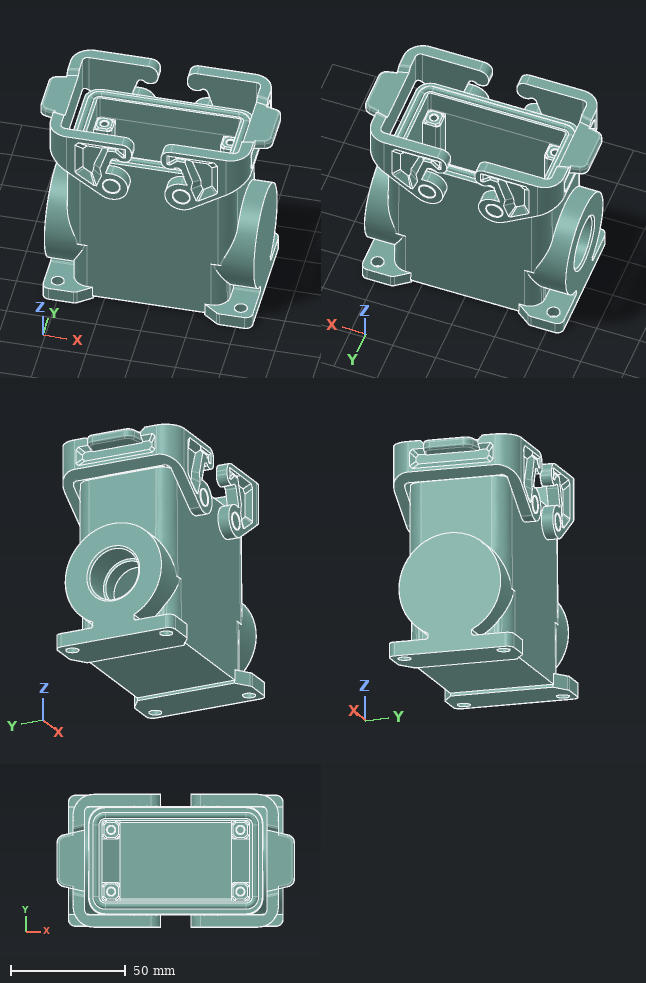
import cadquery as cq
import math

margin = 1.0
bevel_angle = 45.0

body_bottom = 1.3
rim_z = 80.0
bore_z = 30.0
upper_half_x = 38.1
lower_half_x = 34.7
body_half_y = 23.5
body_corner = 7.2
draft = 0.45

bead_half_x = 34.8
bead_half_y = 19.8
bead_radius = 1.3
bead_corner = 4.1

cavity_half_x = 32.1
cavity_half_y = 17.5
well_half_x = 24.2
shoulder_z = 53.8
shoulder_drop = 4.6
floor_z = 5.2
floor_half_y = 16.6
cavity_corner = 1.0

pillar_top = 69.1
pillar_inner_y = 9.4
pillar_rounding = 1.8
pillar_cap_height = 0.7
pillar_cap_clip = 1.8
pillar_overlap = 2.6
screw_radius = 1.7
screw_mouth_radius = 2.0
screw_depth = 10.4

end_x = 46.8
boss_radius = 23.4
bore_radius = 11.9
bore_depth = 14.5
bore_chamfer = 0.9
throat_radius = 10.8
neck_half_y = 10.0
neck_fillet = 1.0

foot_height = 6.3
foot_half_y = 28.6
foot_inner_x = 24.8
foot_bend_x = 31.8
foot_corner = 3.1
foot_bend_radius = 2.6
foot_hole_x = 40.9
foot_hole_y = 22.8
foot_hole_radius = 2.8

lever_top = 96.9
lever_end_x = 44.7
lever_half_y = 29.0
lever_inner_x = 39.7
lever_inner_y = 23.7
lever_corner = 9.0
lever_inner_corner = 2.4
lever_end_bottom = 83.0
pivot_x = 15.6
pivot_z = 71.7
eye_radius = 7.3
pin_radius = 3.7
pin_groove_width = 0.2
pin_groove_depth = 0.3
hook_tip_x = 6.6
hook_radius = 4.2
hook_bottom = 86.9
hook_low_radius = 3.8
hook_lip_angle = 33.0
throat_top_x = 15.5
throat_top_z = 87.1
throat_bottom_x = 18.1
mouth_apex_x = 13.9
mouth_apex_z = 88.3

flank_depth = 2.3
arm_depth = 0.8
arm_flare = 45.0

end_pocket_half_y = 19.1
end_pocket_bottom = 84.5
end_pocket_top = 93.2
end_pocket_depth = 1.7
end_pocket_wall = 2.3
end_pocket_corner = 1.2

grip_tip_x = 51.8
grip_bottom = 90.5
grip_top = 94.9
grip_root_half_y = 13.4
grip_tip_half_y = 10.7
grip_corner = 3.6
grip_edge = 1.0
notch_flare = 45.0
notch_rounding = 1.0


def rounded_block(half_x, half_y, z_low, height, radius, taper=0.0):
    """Upright block with rounded vertical edges."""
    outline = cq.Sketch().rect(2 * half_x, 2 * half_y).vertices().fillet(radius)
    return cq.Workplane("XY", origin=(0, 0, z_low)).placeSketch(outline).extrude(height, taper=taper)


def clipped_rectangle(half_width, half_height, clip):
    """Corners of a centred rectangle with its four corners clipped."""
    return [
        (-half_width, half_height - clip),
        (clip - half_width, half_height),
        (half_width - clip, half_height),
        (half_width, half_height - clip),
        (half_width, clip - half_height),
        (half_width - clip, -half_height),
        (clip - half_width, -half_height),
        (-half_width, clip - half_height),
    ]


def both_ends(left_part):
    """A left-hand part together with its mirror image on the right."""
    return left_part.union(left_part.mirror("YZ"))


def make_body():
    lower_height = bore_z - body_bottom
    flare = lower_height * math.tan(math.radians(draft))
    lower = rounded_block(lower_half_x + flare, body_half_y + flare, body_bottom,
                          lower_height, body_corner, draft)
    upper = rounded_block(upper_half_x, body_half_y, bore_z, rim_z - bore_z, body_corner, draft)
    return lower.union(upper)


def make_bead():
    """Half-round bead along the rim: straight bars joined by elbows, sunk to half thickness."""
    straight_x = bead_half_x - bead_corner
    straight_y = bead_half_y - bead_corner
    bar_x = cq.Workplane("YZ").circle(bead_radius).extrude(2 * straight_x).translate((-straight_x, 0, 0))
    bar_y = cq.Workplane("XZ").circle(bead_radius).extrude(2 * straight_y).translate((0, straight_y, 0))
    corner_ring = cq.Workplane(cq.Solid.makeTorus(bead_corner, bead_radius))
    corner_room = cq.Workplane("XY").box(2 * bead_corner, 2 * bead_corner, 2 * bead_radius,
                                         centered=(False, False, True))
    elbow = corner_ring.intersect(corner_room)
    elbow = elbow.translate((straight_x, straight_y, 0))
    half = elbow.union(elbow.mirror("XZ")).union(bar_y.translate((bead_half_x, 0, 0)))
    bead = both_ends(half)
    for side in (-1, 1):
        bead = bead.union(bar_x.translate((0, side * bead_half_y, 0)))
    return bead.translate((0, 0, rim_z))


def make_cavity():
    slope_end_z = shoulder_z - shoulder_drop
    length_profile = (
        cq.Workplane("XZ")
        .polyline([
            (-cavity_half_x, rim_z),
            (-cavity_half_x, shoulder_z),
            (-well_half_x, slope_end_z),
            (-well_half_x, floor_z),
            (well_half_x, floor_z),
            (well_half_x, slope_end_z),
            (cavity_half_x, shoulder_z),
            (cavity_half_x, rim_z),
        ])
        .close()
        .extrude(cavity_half_y, both=True)
    )
    width_profile = (
        cq.Workplane("YZ")
        .polyline([
            (-cavity_half_y, rim_z),
            (-cavity_half_y, pillar_top),
            (-floor_half_y, floor_z),
            (floor_half_y, floor_z),
            (cavity_half_y, pillar_top),
            (cavity_half_y, rim_z),
        ])
        .close()
        .extrude(cavity_half_x, both=True)
    )
    rounded = rounded_block(cavity_half_x, cavity_half_y, floor_z, rim_z - floor_z, cavity_corner)
    return length_profile.intersect(width_profile).intersect(rounded)


def make_pillars():
    size_x = cavity_half_x - well_half_x
    size_y = cavity_half_y - pillar_inner_y
    middle = (well_half_x + size_x / 2, pillar_inner_y + size_y / 2, 0)
    cap_base = pillar_top - pillar_cap_height
    column = (
        cq.Workplane("XY")
        .box(size_x + pillar_overlap, size_y + pillar_overlap, cap_base - floor_z, centered=False)
        .edges("|Z").fillet(pillar_rounding)
        .translate((well_half_x, pillar_inner_y, floor_z))
    )
    cap = (
        cq.Workplane("XY", origin=(0, 0, cap_base))
        .polyline(clipped_rectangle(size_x / 2, size_y / 2, pillar_cap_clip))
        .close()
        .extrude(pillar_cap_height, taper=bevel_angle)
        .translate(middle)
    )
    pillar = (
        column.union(cap)
        .faces(">Z").workplane(origin=middle)
        .cskHole(2 * screw_radius, 2 * screw_mouth_radius, 2 * bevel_angle, screw_depth)
    )
    return both_ends(pillar.union(pillar.mirror("XZ")))


def make_entry_boss():
    """Left round boss with the neck that ties it to the foot."""
    boss_length = end_x - foot_inner_x
    base = neck_half_y + neck_fillet
    boss = cq.Workplane("YZ", origin=(-end_x, 0, bore_z)).circle(boss_radius).extrude(boss_length)
    neck = (
        cq.Workplane("YZ", origin=(-end_x, 0, 0))
        .moveTo(-base, foot_height)
        .radiusArc((-neck_half_y, foot_height + neck_fillet), -neck_fillet)
        .lineTo(-neck_half_y, bore_z)
        .lineTo(neck_half_y, bore_z)
        .lineTo(neck_half_y, foot_height + neck_fillet)
        .radiusArc((base, foot_height), -neck_fillet)
        .close()
        .extrude(boss_length)
    )
    return boss.union(neck)


def make_foot():
    """Left foot plate with its two screw holes."""
    plate = (
        cq.Workplane("XY")
        .polyline([
            (-end_x, -foot_half_y),
            (-foot_bend_x, -foot_half_y),
            (-foot_inner_x, -body_half_y),
            (-foot_inner_x, body_half_y),
            (-foot_bend_x, foot_half_y),
            (-end_x, foot_half_y),
        ])
        .close()
        .extrude(foot_height)
    )
    plate = plate.edges("|Z and <X").fillet(foot_corner)
    bends = cq.selectors.BoxSelector(
        (-foot_bend_x - margin, -foot_half_y - margin, -margin),
        (-foot_bend_x + margin, foot_half_y + margin, foot_height + margin))
    plate = plate.edges("|Z").edges(bends).fillet(foot_bend_radius)
    return (
        plate.faces("<Z").workplane(origin=(0, 0, 0))
        .pushPoints([(-foot_hole_x, -foot_hole_y), (-foot_hole_x, foot_hole_y)])
        .hole(2 * foot_hole_radius)
    )


def make_bore():
    """Stepped cable bore entering from the left end and opening into the cavity."""
    start = cq.Workplane("YZ", origin=(-end_x, 0, bore_z))
    bore = start.circle(bore_radius).extrude(bore_depth)
    throat = start.circle(throat_radius).extrude(end_x - well_half_x + margin)
    mouth = start.circle(bore_radius + bore_chamfer).extrude(bore_chamfer, taper=bevel_angle)
    return bore.union(throat).union(mouth)


def lever_side_profile():
    """Side outline of the left lever: end wall, pivot eye and open hook."""
    run = lever_end_x - pivot_x
    rise = lever_end_bottom - pivot_z
    tangent = math.pi + math.acos(eye_radius / math.hypot(run, rise)) - math.atan2(rise, run)
    tangent_x = -pivot_x + eye_radius * math.cos(tangent)
    tangent_z = pivot_z + eye_radius * math.sin(tangent)
    eye_top = pivot_z + eye_radius
    hook_low_z = hook_bottom + hook_low_radius
    hook_low_x = hook_tip_x + hook_low_radius
    lip_angle = math.radians(hook_lip_angle)
    lip_x = hook_low_x + hook_low_radius * math.sin(lip_angle)
    lip_z = hook_low_z - hook_low_radius * math.cos(lip_angle)
    return (
        cq.Workplane("XZ")
        .moveTo(-lever_end_x, lever_top)
        .lineTo(-lever_end_x, lever_end_bottom)
        .lineTo(tangent_x, tangent_z)
        .threePointArc((-pivot_x + eye_radius, pivot_z), (-pivot_x, eye_top))
        .lineTo(-throat_bottom_x, eye_top)
        .lineTo(-throat_top_x, throat_top_z)
        .threePointArc((-mouth_apex_x, mouth_apex_z), (-lip_x, lip_z))
        .threePointArc((-hook_low_x, hook_bottom), (-hook_tip_x, hook_low_z))
        .lineTo(-hook_tip_x, lever_top - hook_radius)
        .radiusArc((-hook_tip_x - hook_radius, lever_top), -hook_radius)
        .close()
        .extrude(lever_half_y, both=True)
    )


def lever_band():
    """U-shaped band that the lever is cut from."""
    z_low = pivot_z - eye_radius
    height = lever_top - z_low
    outer = rounded_block(lever_end_x, lever_half_y, z_low, height, lever_corner)
    inner = rounded_block(lever_inner_x, lever_inner_y, z_low, height, lever_inner_corner)
    left = cq.Workplane("XY").box(lever_end_x, 2 * lever_half_y, lever_top,
                                  centered=(False, True, False))
    return outer.cut(inner).intersect(left.translate((-lever_end_x, 0, 0)))


def sloped_pocket(opening, floor, depth):
    """Recess with flat sloping walls between an opening and a floor of equally many corners.

    Both outlines lie across the recess, which sinks along its local +Z.
    """
    recess = cq.Workplane("XY").polyline(opening).close()
    return recess.workplane(offset=depth).polyline(floor).close().loft(ruled=True, combine=True)


def flank_pocket():
    """Recess in the front flank, with a shallow arm reaching into the hook."""
    opening = [
        (-31.8, 92.7),
        (-30.2, 94.5),
        (-16.6, 94.5),
        (-20.7, 81.4),
        (-20.0, 77.2),
        (-22.3, 70.9),
        (-23.3, 70.9),
        (-31.0, 76.3),
        (-31.8, 77.3),
    ]
    floor = [
        (-28.8, 89.4),
        (-26.9, 91.3),
        (-20.1, 91.3),
        (-23.8, 81.4),
        (-24.0, 78.2),
        (-24.7, 76.2),
        (-25.4, 76.2),
        (-28.3, 78.2),
        (-28.8, 79.1),
    ]
    main = (
        sloped_pocket(opening, floor, flank_depth)
        .rotate((0, 0, 0), (1, 0, 0), 90)
        .mirror("XZ")
        .translate((0, -lever_half_y, 0))
    )
    arm = (
        cq.Workplane("XZ", origin=(0, -lever_half_y, 0))
        .polyline([
            (-19.7, 94.5),
            (-9.2, 94.5),
            (-9.2, 89.7),
            (-10.5, 89.3),
            (-13.8, 92.3),
            (-17.4, 92.1),
        ])
        .close()
        .extrude(-arm_depth, taper=arm_flare)
    )
    return main.union(arm)


def end_pocket():
    """Recess in the end wall, below the grip."""
    half_height = (end_pocket_top - end_pocket_bottom) / 2
    middle_z = (end_pocket_top + end_pocket_bottom) / 2
    opening = clipped_rectangle(half_height, end_pocket_half_y, end_pocket_corner)
    floor = clipped_rectangle(half_height - end_pocket_wall, end_pocket_half_y - end_pocket_wall,
                              end_pocket_corner)
    return (
        sloped_pocket(opening, floor, end_pocket_depth)
        .rotate((0, 0, 0), (0, 1, 0), 90)
        .translate((-lever_end_x, 0, middle_z))
    )


def grip_outline(z):
    return cq.Workplane("XY", origin=(0, 0, z)).polyline([
        (-lever_inner_x, -grip_root_half_y),
        (-grip_tip_x, -grip_tip_half_y),
        (-grip_tip_x, grip_tip_half_y),
        (-lever_inner_x, grip_root_half_y),
    ]).close()


def make_grip():
    grip = grip_outline(grip_bottom).extrude(grip_top - grip_bottom)
    grip = grip.edges("|Z and <X").fillet(grip_corner)
    rims = cq.selectors.BoxSelector(
        (-grip_tip_x - margin, -lever_half_y, grip_bottom - margin),
        (-lever_inner_x - margin, lever_half_y, grip_top + margin))
    return grip.faces("<Z or >Z").edges(rims).fillet(grip_edge)


def pivot_pins():
    """Pins that hold the lever eyes to the body."""
    return (
        cq.Workplane("XZ", origin=(-pivot_x, 0, pivot_z))
        .circle(pin_radius).extrude(lever_half_y, both=True)
    )


def pin_groove():
    """Fine ring around the pin head on the front flank."""
    return (
        cq.Workplane("XZ", origin=(-pivot_x, -lever_half_y, pivot_z))
        .circle(pin_radius + pin_groove_width).circle(pin_radius)
        .extrude(-pin_groove_depth)
    )


def make_lever():
    lever = lever_band().intersect(lever_side_profile())
    front_cuts = flank_pocket().union(pin_groove())
    lever = lever.cut(front_cuts).cut(front_cuts.mirror("XZ"))
    notch = grip_outline(grip_top).extrude(lever_top - grip_top, taper=-notch_flare)
    lever = lever.cut(notch)
    notch_rims = cq.selectors.BoxSelector(
        (-lever_end_x - margin, -end_pocket_half_y, lever_top - margin),
        (-lever_inner_x + margin, end_pocket_half_y, lever_top + margin))
    lever = lever.faces(">Z").edges("not(|Y or |X)").edges(notch_rims).fillet(notch_rounding)
    lever = lever.cut(end_pocket())
    return lever.union(make_grip()).union(pivot_pins())


shell = make_body().union(make_bead())
shell = shell.union(both_ends(make_foot())).union(both_ends(make_entry_boss()))
levers = both_ends(make_lever())
result = shell.union(levers).cut(make_cavity()).union(make_pillars()).cut(make_bore())